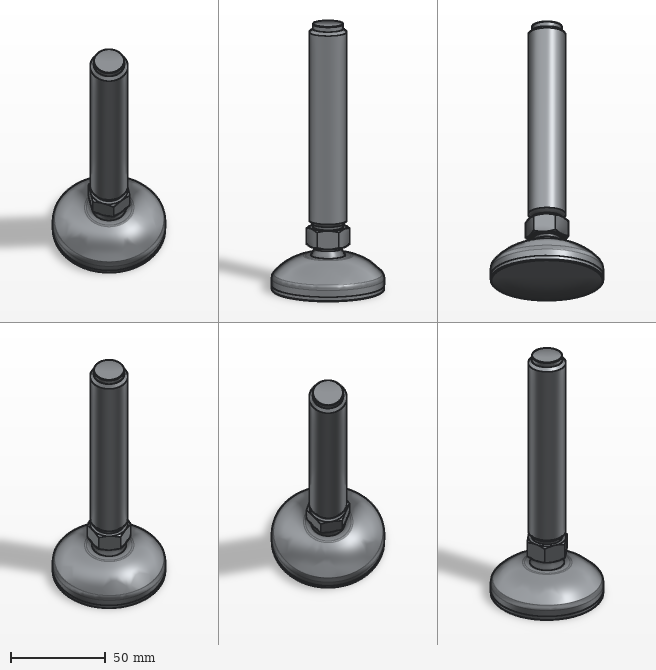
import cadquery as cq
import math

TOTAL_HEIGHT = 144.2
FOOT_RADIUS = 59.8 / 2

PAD_HEIGHT = 2.6
PAD_CHAMFER = 0.6

FOOT_TOP = 18.9
RIM_TOP = 7.8
DOME_TOP_RADIUS = 12.5
DOME_CURVE = 31.1
FOOT_ROUNDING = 4.0

THREAD_RADIUS = 20.0 / 2
FLARE_RADIUS = 18.3 / 2
LOWER_NECK_RADIUS = 14.3 / 2
UPPER_NECK_RADIUS = 16.0 / 2
SHOULDER_RADIUS = 16.5 / 2
TIP_RADIUS = 16.2 / 2
TIP_FACE_RADIUS = 15.7 / 2
TIP_CHAMFER_HEIGHT = 0.5
FLARE_TOP = 22.4
HEX_BOTTOM = 24.1
HEX_TOP = 34.0
THREAD_BOTTOM = 37.6
THREAD_TOP = 139.6
TIP_BOTTOM = 141.3
HEX_FLATS = 20.0
HEX_CHAMFER_ANGLE = 30.0

lead_in_height = THREAD_RADIUS - UPPER_NECK_RADIUS
hex_corner_radius = HEX_FLATS / 2 / math.cos(math.radians(30))


def point_on_bulge(start, end, radius):
    """Middle of an outward-bulging arc between two points of an (r, z) profile."""
    run = end[0] - start[0]
    rise = end[1] - start[1]
    chord = math.hypot(run, rise)
    sagitta = radius - math.sqrt(radius**2 - (chord / 2) ** 2)
    middle_r = (start[0] + end[0]) / 2 + sagitta * rise / chord
    middle_z = (start[1] + end[1]) / 2 - sagitta * run / chord
    return (middle_r, middle_z)


def make_pad():
    """Flat disc with a chamfered lower edge."""
    disc = cq.Workplane("XY").circle(FOOT_RADIUS).extrude(PAD_HEIGHT)
    return disc.faces("<Z").edges().chamfer(PAD_CHAMFER)


def make_foot():
    """Dome on a cylindrical rim, rounded at the rim and at the flat top."""
    rim = (FOOT_RADIUS, RIM_TOP)
    crown = (DOME_TOP_RADIUS, FOOT_TOP)
    dome = (
        cq.Workplane("XZ")
        .moveTo(0, PAD_HEIGHT)
        .lineTo(FOOT_RADIUS, PAD_HEIGHT)
        .lineTo(*rim)
        .threePointArc(point_on_bulge(rim, crown, DOME_CURVE), crown)
        .lineTo(0, FOOT_TOP)
        .close()
        .revolve(360, (0, 0), (0, 1))
    )
    return dome.edges("%CIRCLE and (not <Z)").fillet(FOOT_ROUNDING)


def make_hexagon():
    """Hexagon with corners on the X axis and both ends chamfered by cones."""
    height = HEX_TOP - HEX_BOTTOM
    prism = (
        cq.Workplane("XY", origin=(0, 0, HEX_BOTTOM))
        .polygon(6, 2 * hex_corner_radius)
        .extrude(height)
    )
    chamfer_width = hex_corner_radius - HEX_FLATS / 2
    chamfer_height = chamfer_width * math.tan(math.radians(HEX_CHAMFER_ANGLE))
    envelope = (
        cq.Workplane("XY", origin=(0, 0, HEX_BOTTOM))
        .circle(hex_corner_radius)
        .extrude(height)
        .faces("<Z or >Z")
        .chamfer(chamfer_height, chamfer_width)
    )
    return prism.intersect(envelope)


def make_spindle():
    """Turned stem standing on the foot, with its hexagon joined on."""
    stem = (
        cq.Workplane("XZ")
        .moveTo(0, FOOT_TOP)
        .lineTo(FLARE_RADIUS, FOOT_TOP)
        .lineTo(LOWER_NECK_RADIUS, FLARE_TOP)
        .lineTo(LOWER_NECK_RADIUS, HEX_BOTTOM)
        .lineTo(UPPER_NECK_RADIUS, HEX_BOTTOM)
        .lineTo(UPPER_NECK_RADIUS, THREAD_BOTTOM - lead_in_height)
        .lineTo(THREAD_RADIUS, THREAD_BOTTOM)
        .lineTo(THREAD_RADIUS, THREAD_TOP)
        .lineTo(SHOULDER_RADIUS, TIP_BOTTOM)
        .lineTo(TIP_RADIUS, TIP_BOTTOM)
        .lineTo(TIP_RADIUS, TOTAL_HEIGHT - TIP_CHAMFER_HEIGHT)
        .lineTo(TIP_FACE_RADIUS, TOTAL_HEIGHT)
        .lineTo(0, TOTAL_HEIGHT)
        .close()
        .revolve(360, (0, 0), (0, 1))
    )
    return stem.union(make_hexagon())


pad = make_pad()
foot = make_foot()
spindle = make_spindle()

result = cq.Compound.makeCompound([pad.val(), foot.val(), spindle.val()])